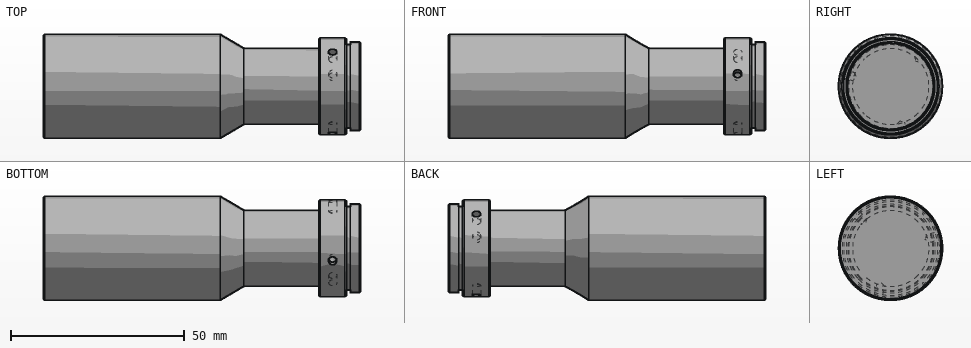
import cadquery as cq
import math

overall_length = 91.4
left_end = -overall_length / 2
right_end = overall_length / 2

body_radius = 15.0
tube_radius = 11.0
collar_radius = 14.0
groove_radius = 12.1
flange_radius = 12.8

body_length = 50.9
cone_length = 6.9
collar_length = 8.0
groove_length = 1.1
flange_length = 3.0
edge_chamfer = 0.5

hole_count = 3
hole_diameter = 2.4
hole_point_angle = 118.0
first_hole_angle = 45.0

body_end = left_end + body_length
cone_end = body_end + cone_length
flange_start = right_end - flange_length
collar_end = flange_start - groove_length
collar_start = collar_end - collar_length
collar_middle = (collar_start + collar_end) / 2


def turned_step(start, length, radius):
    """Solid cylinder along X from the given station."""
    return cq.Workplane("YZ", origin=(start, 0, 0)).circle(radius).extrude(length)


def cone():
    """Taper from the body down to the tube."""
    profile = [(body_end, 0), (body_end, body_radius), (cone_end, tube_radius), (cone_end, 0)]
    return cq.Workplane("XY").polyline(profile).close().revolve(360, (0, 0, 0), (1, 0, 0))


def collar_hole(angle):
    """Drilled hole from the collar surface to the tube radius, with a conical bottom."""
    hole_radius = hole_diameter / 2
    tip_depth = hole_radius / math.tan(math.radians(hole_point_angle / 2))
    profile = [
        (0, tube_radius - tip_depth),
        (hole_radius, tube_radius),
        (hole_radius, body_radius),
        (0, body_radius),
    ]
    drill = cq.Workplane("XY").polyline(profile).close().revolve(360, (0, 0, 0), (0, 1, 0))
    return drill.rotate((0, 0, 0), (1, 0, 0), angle).translate((collar_middle, 0, 0))


body = turned_step(left_end, body_length, body_radius).faces("<X").chamfer(edge_chamfer)
tube = turned_step(cone_end, collar_start - cone_end, tube_radius)
collar = turned_step(collar_start, collar_length, collar_radius).faces("<X or >X").chamfer(edge_chamfer)
groove = turned_step(collar_end, groove_length, groove_radius)
flange = turned_step(flange_start, flange_length, flange_radius).faces(">X").chamfer(edge_chamfer)

result = body.union(cone()).union(tube).union(collar).union(groove).union(flange)
for index in range(hole_count):
    result = result.cut(collar_hole(first_hole_angle + index * 360 / hole_count))